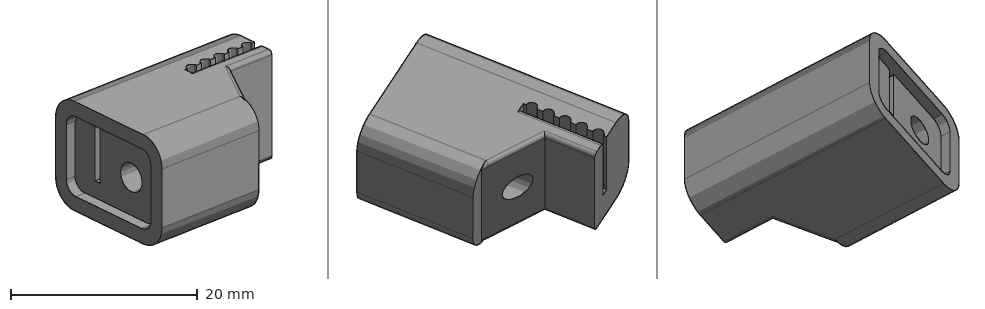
import cadquery as cq

WIDTH = 17.0
LENGTH = 24.0
HEIGHT = 13.0
CORNER_RADIUS = 3.0

POCKET_WALL = 1.75
POCKET_DEPTH = 12.0
INSERT_CLEARANCE = 0.25
INSERT_RECESS = 1.0
INNER_CORNER_RADIUS = 1.5

HOLE_DIAMETER = 3.4
HOLE_X = 11.0

CUT_X = 8.0
CUT_STEP_WIDTH = 2.0
CUT_LENGTH = 10.0
CUT_STRAIGHT_LENGTH = 6.0
CUT_EDGE_RADIUS = 0.5

SLOT_RIGHT_X = 6.0
SLOT_WIDTH = 0.8
SLOT_LENGTH = 10.0
SLOT_FLOOR_Z = 4.0
HOUSING_SLOT_LIP_RADIUS = 0.5
INSERT_SLOT_LIP_RADIUS = 0.3

TOOTH_COUNT = 5
TOOTH_RADIUS = 0.65

SLOT_LEFT_X = SLOT_RIGHT_X - SLOT_WIDTH
TOOTH_PITCH = SLOT_LENGTH / TOOTH_COUNT
STEP_Y = LENGTH - CUT_LENGTH
SLOPE_REAR_Y = LENGTH - CUT_STRAIGHT_LENGTH
SLOPE_STEEPNESS = (SLOPE_REAR_Y - STEP_Y) / (WIDTH - CUT_STEP_WIDTH - CUT_X)
SLOPE_SIDE_Y = SLOPE_REAR_Y - SLOPE_STEEPNESS * (WIDTH - CUT_X)
INSERT_WALL = POCKET_WALL + INSERT_CLEARANCE
INSERT_TOP_Z = HEIGHT - INSERT_WALL


def box(x_start, x_end, y_start, y_end, z_start, z_end):
    """Box between the given limits on each axis."""
    size = (x_end - x_start, y_end - y_start, z_end - z_start)
    return cq.Workplane("XY").box(*size, centered=False).translate((x_start, y_start, z_start))


def rounded_block(inset, y_start, y_end, radius):
    """Block inset evenly from the housing sides, rounded along its four Y edges."""
    block = box(inset, WIDTH - inset, y_start, y_end, inset, HEIGHT - inset)
    return block.edges("|Y").fillet(radius)


def screw_hole():
    """Cylinder along Y at mid height, over the full length."""
    profile = cq.Workplane("XZ").center(HOLE_X, HEIGHT / 2).circle(HOLE_DIAMETER / 2)
    return profile.extrude(-LENGTH)


def belt_slot(y_start, y_end, top_z, lip_radius):
    """Slot open at the top, with its right upper lip flaring out to the top in a convex round."""
    lip_x = SLOT_RIGHT_X + lip_radius
    lip_z = top_z - lip_radius
    profile = (
        cq.Workplane("XZ", origin=(0, y_start, 0))
        .moveTo(SLOT_LEFT_X, SLOT_FLOOR_Z)
        .lineTo(SLOT_RIGHT_X, SLOT_FLOOR_Z)
        .lineTo(SLOT_RIGHT_X, lip_z)
        .radiusArc((lip_x, top_z), lip_radius)
        .lineTo(SLOT_LEFT_X, top_z)
        .close()
    )
    return profile.extrude(y_start - y_end)


def tooth_groove(index):
    """Upright round groove, counted from the rear end."""
    y = LENGTH - (index + 0.5) * TOOTH_PITCH
    base = cq.Workplane("XY", origin=(SLOT_LEFT_X, y, SLOT_FLOOR_Z))
    return base.circle(TOOTH_RADIUS).extrude(HEIGHT - SLOT_FLOOR_Z)


def rear_block():
    """Part of the outer block behind the step, with its right corner cut off and the cut edges rounded."""
    block = rounded_block(0, 0, LENGTH, CORNER_RADIUS)
    corner = (
        cq.Workplane("XY")
        .moveTo(CUT_X, LENGTH)
        .lineTo(CUT_X, SLOPE_REAR_Y)
        .lineTo(WIDTH, SLOPE_SIDE_Y)
        .lineTo(WIDTH, LENGTH)
        .close()
        .extrude(HEIGHT)
    )
    block = block.cut(corner)
    straight_middle_y = (LENGTH + SLOPE_REAR_Y) / 2
    slope_middle_x = (CUT_X + WIDTH - CORNER_RADIUS) / 2
    slope_middle_y = SLOPE_REAR_Y - SLOPE_STEEPNESS * (slope_middle_x - CUT_X)
    cut_edges = []
    for x, y in ((CUT_X, straight_middle_y), (slope_middle_x, slope_middle_y)):
        for z in (0, HEIGHT):
            cut_edges += block.edges(cq.selectors.NearestToPointSelector((x, y, z))).vals()
    block = block.newObject(cut_edges).fillet(CUT_EDGE_RADIUS)
    return block.intersect(box(0, WIDTH, STEP_Y, LENGTH, 0, HEIGHT))


def outer_block():
    """Full-width front part, which ends in the step, joined to the sloped rear part."""
    return rounded_block(0, 0, STEP_Y, CORNER_RADIUS).union(rear_block(), clean=True)


def make_housing():
    """Outer block with the corner cutaway, insert pocket, screw hole and toothed belt slot."""
    body = outer_block()
    body = body.cut(rounded_block(POCKET_WALL, 0, POCKET_DEPTH, INNER_CORNER_RADIUS))
    body = body.cut(screw_hole())
    body = body.cut(belt_slot(LENGTH - SLOT_LENGTH, LENGTH, HEIGHT, HOUSING_SLOT_LIP_RADIUS))
    for index in range(TOOTH_COUNT):
        body = body.cut(tooth_groove(index))
    return body


def make_insert():
    """Rounded block resting on the pocket floor, with the screw hole and a blind belt slot."""
    body = rounded_block(INSERT_WALL, INSERT_RECESS, POCKET_DEPTH, INNER_CORNER_RADIUS)
    body = body.cut(screw_hole())
    slot_end_y = INSERT_RECESS + SLOT_LENGTH
    return body.cut(belt_slot(INSERT_RECESS, slot_end_y, INSERT_TOP_Z, INSERT_SLOT_LIP_RADIUS))


housing = make_housing()
insert = make_insert()
result = cq.Compound.makeCompound([housing.val(), insert.val()])